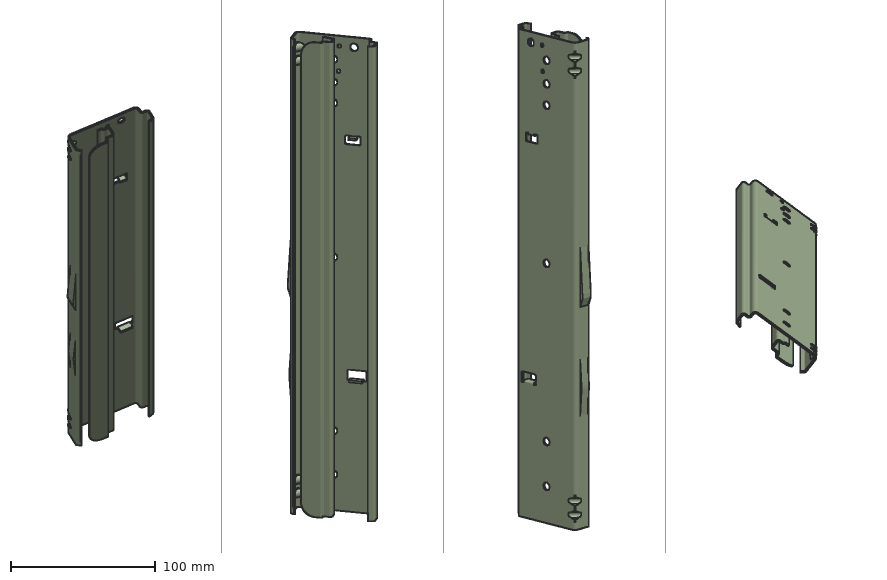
import cadquery as cq
import math

LENGTH = 350.0
WIDTH_Y = 62.5
DEPTH_X = 18.0
SHEET = 1.2

TOP_Y = WIDTH_Y / 2
PAD_HEIGHT = 2.1
FLANGE_Y = -TOP_Y + PAD_HEIGHT

CORNER_RADIUS = 3.1
LIP_START_X = 14.2
LIP_TIP = (16.4, -26.2)
LIP_MIDDLE_X = 15.9
LIP_FULL_END = 5.4
STEP_Y = 25.9
HOOK_X = 5.9
HOOK_END_X = 14.7
HOOK_TIP = (15.9, 26.8)
HOOK_RADIUS = 2.0
STEP_RADIUS = 1.0
LIP_RADIUS = 1.6

INNER_TOP_Y = 0.7
INNER_LEG_X = 6.4
INNER_KINK_X = 5.3
INNER_KINK_Y = (-4.0, -4.9)
INNER_LEG_END_Y = -8.2
INNER_STEP_X = 14.9
INNER_STEP_Y = -5.5
PLATE_END_Y = -20.6
INNER_BEND_RADII = (1.6, 0.4, 2.3, 2.0, 0.6, 1.4)
PLATE_CORNER_RADIUS = 10.0

SCREW_DIAMETER = 5.6
SCREW_Y = -2.1
SCREW_Z = (157.5, 140.6, 125.3, 11.7, -116.3, -148.5)
PILOT_DIAMETER = 2.6
LARGE_DIAMETER = 5.6
OTHER_HOLES = (
    (LARGE_DIAMETER, 12.7, 167.6),
    (PILOT_DIAMETER, 2.1, 167.6),
    (PILOT_DIAMETER, 1.6, 149.0),
)

TAB_REACH = 5.3
TAB_RELIEF = 1.6
TAB_BEND_RADIUS = 1.4
WINDOW_RADIUS = 1.0
UPPER_WINDOW = {
    "window_y": (6.3, 17.4),
    "window_z": (95.7, 102.2),
    "tab_y": (9.8, 15.3),
    "tab_at_top": True,
}
LOWER_WINDOW = {
    "window_y": (7.9, 21.7),
    "window_z": (-78.0, -70.3),
    "tab_y": (10.0, 19.6),
    "tab_at_top": False,
}

GUSSET_RADIUS = 1.9
GUSSET_DEPTH = 4.5
GUSSET_MOUTH_HALF_WIDTH = 3.6
GUSSET_MOUTH_DEPTH = 0.5
GUSSET_Z = (154.4, 164.4)

PAD_X = 5.3
LARGE_PAD_WIDTH = 8.5
SMALL_PAD_WIDTH = 7.5
LARGE_PAD = ((27.0, 0), (-6.0, PAD_HEIGHT), (-9.3, PAD_HEIGHT), (-14.6, 0.4), (-15.5, 0))
SMALL_PAD_HEIGHT = 1.35
SMALL_PAD = ((-53.4, 0), (-72.5, SMALL_PAD_HEIGHT), (-74.5, SMALL_PAD_HEIGHT), (-93.6, 0))


def offset_corners(path):
    """Return the path moved one sheet thickness to its right, with mitred corners."""
    headings = [
        math.atan2(end[1] - start[1], end[0] - start[0])
        for start, end in zip(path, path[1:])
    ]
    corners = []
    for index, (x, y) in enumerate(path):
        before = headings[max(index - 1, 0)]
        after = headings[min(index, len(headings) - 1)]
        half_turn = math.remainder(after - before, math.tau) / 2
        reach = SHEET / math.cos(half_turn)
        normal = before + half_turn - math.pi / 2
        corners.append((x + reach * math.cos(normal), y + reach * math.sin(normal)))
    return corners


def bent_sheet(path, radii):
    """Extrude a sheet whose left face follows the path; radii are the bends' left-face radii."""
    other_face = offset_corners(path)
    sheet = (
        cq.Workplane("XY")
        .workplane(offset=-LENGTH / 2)
        .polyline(path + other_face[::-1])
        .close()
        .extrude(LENGTH)
    )
    for index, radius in enumerate(radii, start=1):
        (x0, y0), (x1, y1), (x2, y2) = path[index - 1:index + 2]
        turns_left = (x1 - x0) * (y2 - y1) > (y1 - y0) * (x2 - x1)
        other_radius = radius + SHEET if turns_left else radius - SHEET
        for corner, bend in ((path[index], radius), (other_face[index], other_radius)):
            edge = cq.selectors.NearestToPointSelector((*corner, 0))
            sheet = sheet.edges("|Z").edges(edge).fillet(bend)
    return sheet


def wall_hole(diameter, y, z):
    return cq.Workplane("YZ").center(y, z).circle(diameter / 2).extrude(SHEET)


def wall_block(y_range, z_range, depth):
    """A block from the outer wall face inwards, spanning the Y and Z ranges."""
    return cq.Workplane("XY").box(
        depth, y_range[1] - y_range[0], z_range[1] - z_range[0], centered=False
    ).translate((0, y_range[0], z_range[0]))


def add_tab_window(rail, window_y, window_z, tab_y, tab_at_top):
    """Cut a window and stand a tab on its upper or lower edge, with a relief at each side."""
    window = wall_block(window_y, window_z, SHEET).edges("|X").fillet(WINDOW_RADIUS)
    bottom, top = window_z
    if tab_at_top:
        root_z = (top - TAB_RELIEF, top)
    else:
        root_z = (bottom, bottom + TAB_RELIEF)
    bend = "<X and <Z" if tab_at_top else "<X and >Z"
    tab = wall_block(tab_y, root_z, TAB_REACH).edges(bend).fillet(TAB_BEND_RADIUS)
    return rail.cut(window).union(tab)


def gusset_groove(z, growth=0):
    """A round-floored groove with flared sides lying diagonally across the lower wall corner."""
    plane = cq.Plane(origin=(0, FLANGE_Y, z), xDir=(0, 0, 1), normal=(-1, 1, 0))
    groove = (
        cq.Workplane(plane)
        .moveTo(-GUSSET_MOUTH_HALF_WIDTH, GUSSET_MOUTH_DEPTH)
        .lineTo(-GUSSET_RADIUS, GUSSET_DEPTH - GUSSET_RADIUS)
        .threePointArc((0, GUSSET_DEPTH), (GUSSET_RADIUS, GUSSET_DEPTH - GUSSET_RADIUS))
        .lineTo(GUSSET_MOUTH_HALF_WIDTH, GUSSET_MOUTH_DEPTH)
        .close()
    )
    if growth:
        groove = groove.offset2D(growth)
    return groove.extrude(DEPTH_X, both=True)


def add_gusset(rail, z):
    """Press the corner inwards: a groove outside and a shell one sheet thick inside."""
    inside = cq.Workplane("XY").box(
        DEPTH_X, DEPTH_X, DEPTH_X, centered=(False, False, True)
    ).translate((SHEET / 2, FLANGE_Y + SHEET / 2, z))
    shell = gusset_groove(z, SHEET).intersect(inside)
    return rail.union(shell).cut(gusset_groove(z))


def flange_pad(profile, width):
    """A raised pad below the flange; the profile lists (Z, height) along it."""
    points = [(FLANGE_Y - height, z) for z, height in profile]
    return (
        cq.Workplane("YZ")
        .workplane(offset=PAD_X)
        .polyline(points)
        .close()
        .extrude(width)
    )


def make_outer_rail():
    path = [
        LIP_TIP,
        (LIP_START_X, FLANGE_Y),
        (0, FLANGE_Y),
        (0, STEP_Y),
        (HOOK_X, STEP_Y),
        (HOOK_X, TOP_Y),
        (HOOK_END_X, TOP_Y),
        HOOK_TIP,
    ]
    rail = bent_sheet(path, [LIP_RADIUS, CORNER_RADIUS, CORNER_RADIUS, STEP_RADIUS, HOOK_RADIUS, HOOK_RADIUS])
    lip_trim = cq.Workplane("XY").box(
        DEPTH_X, DEPTH_X, LENGTH - 2 * LIP_FULL_END, centered=(False, True, True)
    ).translate((LIP_MIDDLE_X, FLANGE_Y, 0))
    rail = rail.cut(lip_trim)
    for z in SCREW_Z:
        rail = rail.cut(wall_hole(SCREW_DIAMETER, SCREW_Y, z))
    for diameter, y, z in OTHER_HOLES:
        rail = rail.cut(wall_hole(diameter, y, z))
    rail = add_tab_window(rail, **UPPER_WINDOW)
    rail = add_tab_window(rail, **LOWER_WINDOW)
    for height in GUSSET_Z:
        for z in (height, -height):
            rail = add_gusset(rail, z)
    rail = rail.union(flange_pad(LARGE_PAD, LARGE_PAD_WIDTH))
    return rail.union(flange_pad(SMALL_PAD, SMALL_PAD_WIDTH))


def make_inner_rail():
    path = [
        (INNER_KINK_X, INNER_LEG_END_Y),
        (INNER_KINK_X, INNER_KINK_Y[1]),
        (INNER_LEG_X, INNER_KINK_Y[0]),
        (INNER_LEG_X, INNER_TOP_Y),
        (INNER_STEP_X, INNER_TOP_Y),
        (INNER_STEP_X, INNER_STEP_Y),
        (DEPTH_X, INNER_STEP_Y),
        (DEPTH_X, PLATE_END_Y),
    ]
    rail = bent_sheet(path, INNER_BEND_RADII)
    return rail.edges("|X and <Y").fillet(PLATE_CORNER_RADIUS)


outer_rail = make_outer_rail()
inner_rail = make_inner_rail()
result = cq.Compound.makeCompound([outer_rail.solids().val(), inner_rail.solids().val()])